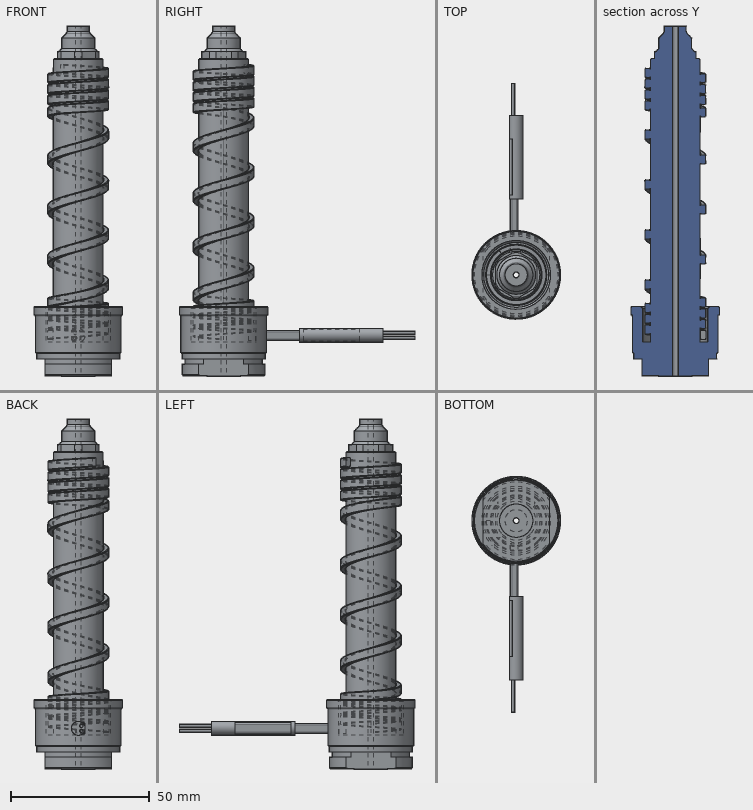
import math

import cadquery as cq


CONTACT_R = 6.0
NUT_R = 15.0
NECK_R = 14.0
BODY_R = 15.5
FLANGE_R = 16.0
KEY_FLATS_WIDTH = 24.0
CONTACT_H = 0.25
NECK_BOTTOM_Z = 4.45
NECK_TOP_Z = 6.25
BODY_BOTTOM_Z = 8.3
FLANGE_BOTTOM_Z = 22.2
HEAD_TOP_Z = 25.25
HEAD_CHAMFER = 0.4
FLANGE_FILLET_R = 0.5
RECESS_R = 11.7
RECESS_CHAMFER = 0.7
RECESS_FLOOR_Z = 12.5

TUBE_R = 9.0
TUBE_TOP_Z = 114.6
TUBE_CHAMFER = 0.5
HEX_WIDTH = 15.0
HEX_CORNER_DIAMETER = 16.0
HEX_TOP_Z = 117.0
COLLAR_R = 7.0
SHANK_R = 6.0
SHANK_BOTTOM_Z = 118.1
SHANK_TOP_Z = 121.9
CONE_TOP_R = 4.4
CONE_TOP_Z = 123.5
TIP_R = 4.0
TIP_BOTTOM_Z = 124.2
TOP_Z = 126.2
BORE_DIAMETER = 2.0

COIL_OUTER_R = 11.0
COIL_HEIGHT = 3.4
COIL_EDGE_CHAMFER = 0.3
COIL_OVERLAP = 0.1
COIL_INNER_CHAMFER = COIL_EDGE_CHAMFER + COIL_OVERLAP
CLOSE_PITCH = 3.9
OPEN_PITCH = 18.0
COIL_BOTTOM_Z = 14.95
COIL_START_ANGLE = -180.0
LOWER_CLOSE_SWEEP = 3 * 360.0
LOWER_RAMP_SWEEP = 127.0
OPEN_SWEEP = 3 * 360.0 + 143.0
UPPER_RAMP_SWEEP = 157.0
UPPER_CLOSE_SWEEP = 3 * 360.0 + 238.0
COIL_ANGLE_STEP = 15.0

CABLE_Z = 14.8
LEAD_WIDTH = 2.8
LEAD_HEIGHT = 3.7
LEAD_CORNER_R = 0.6
LEAD_X = -0.75
SLEEVE_R = 2.5
SLEEVE_START_Y = 27.3
SLEEVE_END_Y = 57.4
PAD_START_Y = 28.8
PAD_END_Y = 49.0
PAD_HEIGHT = 4.2
PAD_CORNER_R = 0.75
WIRE_DIAMETER = 1.2
WIRE_SPACING = 1.8
WIRE_X = -1.1
WIRE_END_Y = 69.0


def disc(radius, bottom, top):
    return cq.Workplane("XY").workplane(offset=bottom).circle(radius).extrude(top - bottom)


def make_flange_fillet():
    """Hollow rounding under the flange, where it meets the body."""
    corner = (BODY_R, FLANGE_BOTTOM_Z)
    outer = (BODY_R + FLANGE_FILLET_R, FLANGE_BOTTOM_Z)
    lower = (BODY_R, FLANGE_BOTTOM_Z - FLANGE_FILLET_R)
    bulge = FLANGE_FILLET_R * (1 - math.sqrt(0.5))
    middle = (BODY_R + bulge, FLANGE_BOTTOM_Z - bulge)
    profile = cq.Workplane("XZ").moveTo(*corner).lineTo(*outer).threePointArc(middle, lower).close()
    return profile.revolve(360, (0, 0, 0), (0, 1, 0))


def make_head():
    nut = disc(NUT_R, CONTACT_H, NECK_BOTTOM_Z).faces("<Z").chamfer(HEAD_CHAMFER)
    neck = disc(NECK_R, NECK_BOTTOM_Z, NECK_TOP_Z)
    flats = cq.Workplane("XY").box(KEY_FLATS_WIDTH, 2 * NUT_R, NECK_TOP_Z, centered=(True, True, False))
    keyed_end = nut.union(neck).intersect(flats)

    contact = disc(CONTACT_R, 0, CONTACT_H)
    shoulder = disc(NUT_R, NECK_TOP_Z, BODY_BOTTOM_Z)
    body = disc(BODY_R, BODY_BOTTOM_Z, FLANGE_BOTTOM_Z).faces("<Z").chamfer(HEAD_CHAMFER)
    flange = disc(FLANGE_R, FLANGE_BOTTOM_Z, HEAD_TOP_Z).faces(">Z").chamfer(HEAD_CHAMFER)
    recess = disc(RECESS_R, RECESS_FLOOR_Z, HEAD_TOP_Z)
    rim_bevel = cq.Workplane(
        cq.Solid.makeCone(
            RECESS_R,
            RECESS_R + RECESS_CHAMFER,
            RECESS_CHAMFER,
            cq.Vector(0, 0, HEAD_TOP_Z - RECESS_CHAMFER),
        )
    )
    head = contact.union(keyed_end).union(shoulder).union(body).union(flange).union(make_flange_fillet())
    return head.cut(recess).cut(rim_bevel)


def make_tube():
    return disc(TUBE_R, RECESS_FLOOR_Z, TUBE_TOP_Z).faces(">Z").chamfer(TUBE_CHAMFER)


def make_tip():
    hexagon = (
        cq.Workplane("XY")
        .workplane(offset=TUBE_TOP_Z)
        .polygon(6, HEX_WIDTH, circumscribed=True)
        .extrude(HEX_TOP_Z - TUBE_TOP_Z)
        .intersect(disc(HEX_CORNER_DIAMETER / 2, TUBE_TOP_Z, HEX_TOP_Z))
    )
    profile = [
        (0, HEX_TOP_Z),
        (COLLAR_R, HEX_TOP_Z),
        (SHANK_R, SHANK_BOTTOM_Z),
        (SHANK_R, SHANK_TOP_Z),
        (CONE_TOP_R, CONE_TOP_Z),
        (TIP_R, TIP_BOTTOM_Z),
        (TIP_R, TOP_Z),
        (0, TOP_Z),
    ]
    nose = cq.Workplane("XZ").polyline(profile).close().revolve(360, (0, 0, 0), (0, 1, 0))
    return hexagon.union(nose)


def coil_stages():
    """Sweep angle, first pitch and last pitch of each stretch of the coil, bottom to top."""
    return [
        (LOWER_CLOSE_SWEEP, CLOSE_PITCH, CLOSE_PITCH),
        (LOWER_RAMP_SWEEP, CLOSE_PITCH, OPEN_PITCH),
        (OPEN_SWEEP, OPEN_PITCH, OPEN_PITCH),
        (UPPER_RAMP_SWEEP, OPEN_PITCH, CLOSE_PITCH),
        (UPPER_CLOSE_SWEEP, CLOSE_PITCH, CLOSE_PITCH),
    ]


def coil_stations():
    """Angle and mid-height along the coil, with the pitch varying linearly in each stage."""
    angle = COIL_START_ANGLE
    height = COIL_BOTTOM_Z
    stations = [(angle, height)]
    for sweep, first_pitch, last_pitch in coil_stages():
        steps = math.ceil(sweep / COIL_ANGLE_STEP)
        for step in range(1, steps + 1):
            part = step / steps
            mean_pitch = first_pitch + (last_pitch - first_pitch) * part / 2
            stations.append((angle + sweep * part, height + mean_pitch * sweep * part / 360))
        angle, height = stations[-1]
    return stations


def coil_edge(radius, rise, stations):
    """Smooth helical edge at a given radius and height above the coil's mid-height."""
    points = []
    for angle, height in stations:
        turn = math.radians(angle)
        points.append(cq.Vector(radius * math.cos(turn), radius * math.sin(turn), height + rise))
    return cq.Edge.makeSpline(points)


def make_coil():
    inner_r = TUBE_R - COIL_OVERLAP
    inner_bevel_r = inner_r + COIL_INNER_CHAMFER
    outer_bevel_r = COIL_OUTER_R - COIL_EDGE_CHAMFER
    half = COIL_HEIGHT / 2
    section = [
        (inner_r, COIL_INNER_CHAMFER - half),
        (inner_bevel_r, -half),
        (outer_bevel_r, -half),
        (COIL_OUTER_R, COIL_EDGE_CHAMFER - half),
        (COIL_OUTER_R, half - COIL_EDGE_CHAMFER),
        (outer_bevel_r, half),
        (inner_bevel_r, half),
        (inner_r, half - COIL_INNER_CHAMFER),
    ]
    stations = coil_stations()
    edges = [coil_edge(radius, rise, stations) for radius, rise in section]
    next_edges = edges[1:] + edges[:1]
    faces = [cq.Face.makeRuledSurface(edge, other) for edge, other in zip(edges, next_edges)]
    for end in (0, 1):
        corners = [edge.positionAt(end) for edge in edges]
        faces.append(cq.Face.makeFromWires(cq.Wire.makePolygon(corners, close=True)))
    return cq.Workplane(cq.Solid.makeSolid(cq.Shell.makeShell(faces)))


def bar_along_y(x_low, x_high, height, corner_r, y_start, y_end):
    bar = cq.Workplane("XY").box(x_high - x_low, y_end - y_start, height).edges("|Y").fillet(corner_r)
    return bar.translate(((x_low + x_high) / 2, (y_start + y_end) / 2, CABLE_Z))


def rod_along_y(radius, x, z, y_start, y_end):
    rod = cq.Solid.makeCylinder(radius, y_end - y_start, cq.Vector(x, y_start, z), cq.Vector(0, 1, 0))
    return cq.Workplane(rod)


def make_cable():
    lead_low = LEAD_X - LEAD_WIDTH / 2
    lead_high = LEAD_X + LEAD_WIDTH / 2
    cable = bar_along_y(lead_low, lead_high, LEAD_HEIGHT, LEAD_CORNER_R, TUBE_R, SLEEVE_START_Y)
    cable = cable.union(rod_along_y(SLEEVE_R, 0, CABLE_Z, SLEEVE_START_Y, SLEEVE_END_Y))
    cable = cable.union(bar_along_y(-SLEEVE_R, 0, PAD_HEIGHT, PAD_CORNER_R, PAD_START_Y, PAD_END_Y))
    for side in (-1, 1):
        wire_z = CABLE_Z + side * WIRE_SPACING / 2
        cable = cable.union(rod_along_y(WIRE_DIAMETER / 2, WIRE_X, wire_z, PAD_END_Y, WIRE_END_Y))
    return cable


def make_bore():
    return disc(BORE_DIAMETER / 2, 0, TOP_Z)


nozzle = make_head().union(make_tube()).union(make_tip()).union(make_coil())
result = nozzle.union(make_cable()).cut(make_bore())